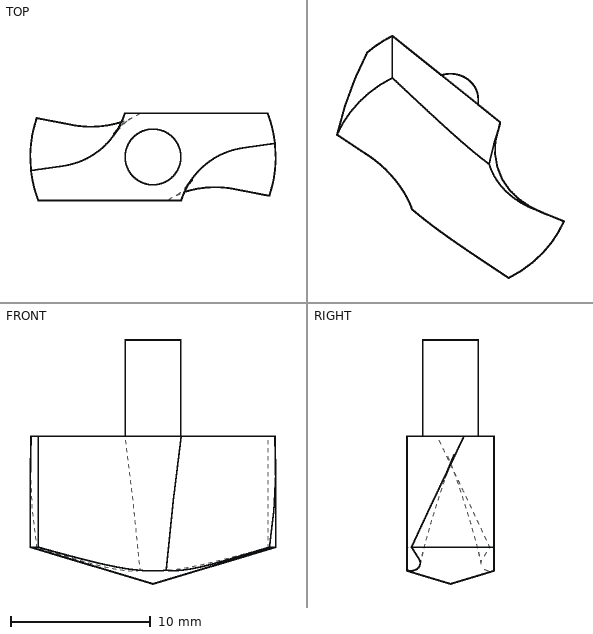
import cadquery as cq
import math

cutting_diameter = 17.6
blade_thickness = 6.27
overall_height = 17.5
shank_diameter = 4.0
shank_length = 6.9
tip_height = 2.64
twist_per_unit_height = 3.125

cutting_radius = cutting_diameter / 2
half_thickness = blade_thickness / 2
body_height = overall_height - shank_length

land_angle = 8.0
land_inner_x = 6.46
land_inner_y = 0.65
wall_middle = (3.45, -0.81)
wall_end = (2.02, -half_thickness)
flute_reach = 14.08


def make_blank():
    """Revolved bar with a conical tip at the origin, cut to a flat plate."""
    bar_profile = [
        (0, 0),
        (cutting_radius, tip_height),
        (cutting_radius, body_height),
        (0, body_height),
    ]
    bar = (
        cq.Workplane("XZ")
        .polyline(bar_profile)
        .close()
        .revolve(360, (0, 0, 0), (0, 1, 0))
    )
    plate = cq.Workplane("XY").box(
        2 * cutting_diameter, blade_thickness, body_height, centered=(True, True, False)
    )
    return bar.intersect(plate)


def make_flute_cutter():
    """Flute section swept from the top face down past the tip with a constant twist."""
    land_outer_y = land_inner_y + (flute_reach - land_inner_x) * math.tan(math.radians(land_angle))
    return (
        cq.Workplane("XY", origin=(0, 0, body_height))
        .moveTo(flute_reach, land_outer_y)
        .lineTo(land_inner_x, land_inner_y)
        .threePointArc(wall_middle, wall_end)
        .lineTo(wall_end[0], -flute_reach)
        .lineTo(flute_reach, -flute_reach)
        .close()
        .twistExtrude(-body_height, twist_per_unit_height * body_height)
    )


def make_shank():
    return cq.Workplane("XY", origin=(0, 0, body_height)).circle(shank_diameter / 2).extrude(shank_length)


body = make_blank()
flute_cutter = make_flute_cutter()
for flute_angle in (0, 180):
    body = body.cut(flute_cutter.rotate((0, 0, 0), (0, 0, 1), flute_angle))

result = body.union(make_shank())